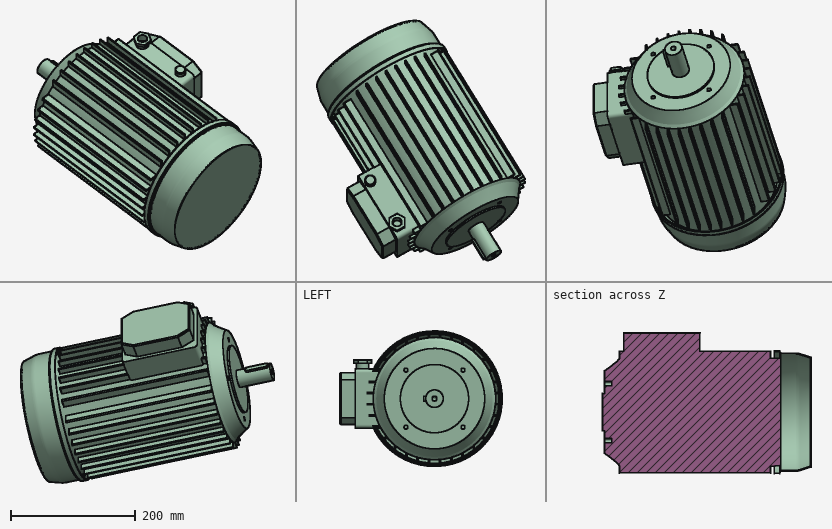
import cadquery as cq
import math


overall_length = 392.0

shaft_radius = 14.0
shaft_length = 56.0
centre_hole_radius = 4.0
centre_hole_depth = 6.5
key_width = 8.0
key_start = 2.5
key_end = 40.8
key_seat = 9.8
key_top = 17.2

register_radius = 55.0
flange_face = 59.0
flange_radius = 80.8
cone_end = 79.0
cone_end_radius = 93.5
mount_hole_radius = 3.0
mount_hole_depth = 11.8
mount_hole_offset = 46.0

frame_start = 83.5
frame_radius = 98.5
frame_end = 343.0
fin_end = 326.5
fin_tip_radius = 108.0
fin_thickness = 2.5
fin_pitch = 18.0
fins_per_side = 8

cover_wall = 2.0
collar_start = 332.0
collar_end = 340.5
collar_radius = 109.0
cover_start = 343.0
cover_radius = 106.0
cover_bend_start = 367.5
cover_bend_end = 373.0
cover_end_radius = 99.5

box_start = 88.5
box_end = 214.5
box_half_height = 48.0
box_top = 127.5
box_corner_radius = 6.0
lid_start = 94.5
lid_end = 209.0
lid_half_height = 42.0
lid_top = collar_radius + 43.0
lid_corner_length = 20.0
lid_corner_height = 11.5
lid_edge_chamfer = 2.0

fitting_y = 115.5
gland_x = 109.8
gland_neck_radius = 10.0
gland_hex_bottom = 57.0
gland_hex_top = 62.5
gland_flats = 25.0
gland_bore_radius = 7.5
plug_x = 195.0
plug_radius = 8.5
plug_top = 55.5
plug_chamfer = 1.0


def cylinder_x(radius, start, end):
    """Cylinder on the motor axis between two X positions."""
    return cq.Workplane("YZ").workplane(offset=start).circle(radius).extrude(end - start)


def block(x_range, y_range, z_range):
    """Rectangular block given by its limits along each axis."""
    size = [high - low for low, high in (x_range, y_range, z_range)]
    corner = (x_range[0], y_range[0], z_range[0])
    return cq.Workplane("XY").box(*size, centered=False).translate(corner)


def turn(profile):
    """Turn a closed XY profile around the motor axis."""
    return profile.close().revolve(360, (0, 0, 0), (1, 0, 0))


def make_turned_housing():
    """Flange, end shield and frame turned as one profile."""
    return turn(
        cq.Workplane("XY")
        .moveTo(shaft_length, 0)
        .lineTo(shaft_length, register_radius)
        .lineTo(flange_face, register_radius)
        .lineTo(flange_face, flange_radius)
        .lineTo(cone_end, cone_end_radius)
        .lineTo(frame_start, frame_radius)
        .lineTo(frame_end, frame_radius)
        .lineTo(frame_end, 0)
    )


def cover_form(inset, front):
    """Solid form of the fan cover, with every wall but the front one moved inward by the inset."""
    bend_middle = (cover_bend_start + cover_bend_end) / 2
    taper = math.atan2(cover_radius - cover_end_radius, overall_length - bend_middle)
    bend_drop = (cover_bend_end - cover_bend_start) * math.tan(taper / 2)
    wall_radius = cover_radius - inset
    end = overall_length - inset
    end_radius = cover_end_radius - inset + inset * math.tan(taper)
    return turn(
        cq.Workplane("XY")
        .moveTo(front, 0)
        .lineTo(front, collar_radius - inset)
        .lineTo(collar_end, collar_radius - inset)
        .lineTo(cover_start, wall_radius)
        .lineTo(cover_bend_start, wall_radius)
        .tangentArcPoint((cover_bend_end, wall_radius - bend_drop), relative=False)
        .lineTo(end, end_radius)
        .lineTo(end, 0)
    )


def make_fan_cover():
    """Hollow fan cover, open at the front and closed at the rear."""
    return cover_form(0, collar_start).cut(cover_form(cover_wall, collar_start))


def make_fins():
    """Cooling fins: upright at top and bottom, level at both sides, trimmed to a common round."""
    first_offset = -fin_pitch * (fins_per_side - 1) / 2
    fin_length = fin_end - frame_start
    middle_x = (frame_start + fin_end) / 2
    trim = cylinder_x(fin_tip_radius, frame_start, fin_end)
    slabs = cq.Workplane("XY")
    for index in range(fins_per_side):
        offset = first_offset + index * fin_pitch
        upright = cq.Workplane("XY").box(fin_length, fin_thickness, 2 * fin_tip_radius)
        level = cq.Workplane("XY").box(fin_length, 2 * fin_tip_radius, fin_thickness)
        slabs = slabs.add(upright.translate((middle_x, offset, 0)))
        slabs = slabs.add(level.translate((middle_x, 0, offset)))
    return slabs.combine().intersect(trim)


def make_terminal_box():
    """Box base with rounded corners and a lid with cut corners."""
    base = block((box_start, box_end), (0, box_top), (-box_half_height, box_half_height))
    base = base.edges("|Y").fillet(box_corner_radius)
    x_in = lid_start + lid_corner_length
    x_out = lid_end - lid_corner_length
    z_in = lid_half_height - lid_corner_height
    lid_outline = [
        (lid_start, -z_in), (x_in, -lid_half_height), (x_out, -lid_half_height), (lid_end, -z_in),
        (lid_end, z_in), (x_out, lid_half_height), (x_in, lid_half_height), (lid_start, z_in),
    ]
    lid = cq.Workplane("XZ", origin=(0, box_top, 0)).polyline(lid_outline).close().extrude(box_top - lid_top)
    lid = lid.faces(">Y").chamfer(lid_edge_chamfer)
    return base.union(lid)


def make_gland():
    """Cable gland: round neck under a hexagon with two corners along Y."""
    corner_diameter = gland_flats / math.cos(math.pi / 6)
    neck = (
        cq.Workplane("XY", origin=(gland_x, fitting_y, box_half_height))
        .circle(gland_neck_radius)
        .extrude(gland_hex_bottom - box_half_height)
    )
    hexagon = (
        cq.Workplane("XY")
        .polygon(6, corner_diameter)
        .extrude(gland_hex_top - gland_hex_bottom)
        .rotate((0, 0, 0), (0, 0, 1), 90)
        .translate((gland_x, fitting_y, gland_hex_bottom))
    )
    bore = (
        cq.Workplane("XY", origin=(gland_x, fitting_y, box_half_height))
        .circle(gland_bore_radius)
        .extrude(gland_hex_top - box_half_height)
    )
    return neck.union(hexagon).cut(bore)


def make_plug():
    """Round blanking plug with a chamfered rim."""
    return (
        cq.Workplane("XY", origin=(plug_x, fitting_y, box_half_height))
        .circle(plug_radius)
        .extrude(plug_top - box_half_height)
        .faces(">Z")
        .chamfer(plug_chamfer)
    )


def make_mount_holes():
    """Four blind mounting holes in the flange face."""
    return (
        cq.Workplane("YZ", origin=(flange_face, 0, 0))
        .rect(2 * mount_hole_offset, 2 * mount_hole_offset, forConstruction=True)
        .vertices()
        .circle(mount_hole_radius)
        .extrude(mount_hole_depth)
    )


def make_housing():
    """Complete motor housing with fins and terminal box."""
    housing = make_turned_housing().union(make_fins())
    for attachment in (make_terminal_box(), make_gland(), make_plug()):
        housing = housing.union(attachment)
    return housing.cut(make_mount_holes())


def make_key():
    """Parallel key with round ends on the +Y side of the shaft."""
    return (
        cq.Workplane("XZ", origin=((key_start + key_end) / 2, key_seat, 0))
        .slot2D(key_end - key_start, key_width)
        .extrude(key_seat - key_top)
    )


def make_shaft():
    """Shaft end with a conical centre hole and its key."""
    centre_hole = cq.Workplane(
        cq.Solid.makeCone(centre_hole_radius, 0, centre_hole_depth, dir=cq.Vector(1, 0, 0))
    )
    return cylinder_x(shaft_radius, 0, shaft_length).cut(centre_hole).union(make_key())


housing = make_housing()
fan_cover = make_fan_cover()
shaft = make_shaft()

result = cq.Compound.makeCompound([housing.val(), fan_cover.val(), shaft.val()])